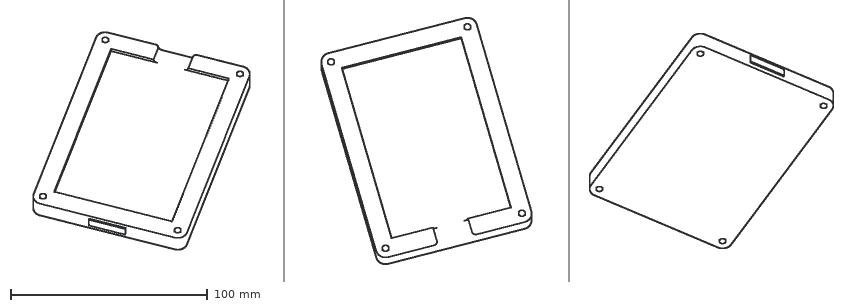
import cadquery as cq
import math

OVERALL_LENGTH = 115.8
WIDTH = 82.0
HEIGHT = 10.0

NAMEPLATE_THICKNESS = 0.75
BODY_LENGTH = OVERALL_LENGTH - NAMEPLATE_THICKNESS
CORNER_RADIUS = 5.0
BACK_Y = BODY_LENGTH / 2
FRONT_Y = -BODY_LENGTH / 2

SCREW_HOLE_DIAMETER = 3.4
SCREW_SPACING_X = WIDTH - 2 * CORNER_RADIUS
SCREW_SPACING_Y = BODY_LENGTH - 2 * CORNER_RADIUS

RIM_WIDTH = 9.5
POCKET_DEPTH = 2.0
FLOOR_Z = HEIGHT - POCKET_DEPTH
POCKET_WIDTH = WIDTH - 2 * RIM_WIDTH
POCKET_LENGTH = BODY_LENGTH - 2 * RIM_WIDTH

NOTCH_CENTER_X = 0.5
NOTCH_WIDTH = 18.5
NOTCH_SIDE_RADIUS = POCKET_DEPTH
NOTCH_MOUTH_RADIUS = 2.0

NAMEPLATE_WIDTH = 19.5
NAMEPLATE_HEIGHT = 4.7
NAMEPLATE_BOTTOM_Z = 3.0


def make_body():
    """Flat block with rounded vertical corners."""
    block = cq.Workplane("XY").box(WIDTH, BODY_LENGTH, HEIGHT, centered=(True, True, False))
    return block.edges("|Z").fillet(CORNER_RADIUS)


def make_pocket():
    """Cutter for the rectangular pocket."""
    pocket = cq.Workplane("XY").box(
        POCKET_WIDTH, POCKET_LENGTH, POCKET_DEPTH, centered=(True, True, False)
    )
    return pocket.translate((0, 0, FLOOR_Z))


def make_notch():
    """Cutter for the notch: flat floor rising in a quarter circle at each side."""
    half_top = NOTCH_WIDTH / 2
    half_floor = half_top - NOTCH_SIDE_RADIUS
    diagonal = NOTCH_SIDE_RADIUS * math.sqrt(0.5)
    arc_middle_z = HEIGHT - diagonal
    profile = (
        cq.Workplane("XZ", origin=(NOTCH_CENTER_X, BACK_Y, 0))
        .moveTo(-half_top, HEIGHT)
        .threePointArc((-half_floor - diagonal, arc_middle_z), (-half_floor, FLOOR_Z))
        .lineTo(half_floor, FLOOR_Z)
        .threePointArc((half_floor + diagonal, arc_middle_z), (half_top, HEIGHT))
        .close()
    )
    return profile.extrude(RIM_WIDTH)


def round_notch_mouth(body):
    """Round the edge between the notch and the back face, sides and floor together."""
    half_width = NOTCH_WIDTH / 2
    edge_margin = 0.1
    mouth = cq.selectors.BoxSelector(
        (NOTCH_CENTER_X - half_width, BACK_Y - edge_margin, FLOOR_Z - edge_margin),
        (NOTCH_CENTER_X + half_width, BACK_Y + edge_margin, HEIGHT - edge_margin),
    )
    return body.edges(mouth).fillet(NOTCH_MOUTH_RADIUS)


def make_screw_holes():
    """Cutters for the four through holes."""
    return (
        cq.Workplane("XY")
        .rect(SCREW_SPACING_X, SCREW_SPACING_Y, forConstruction=True)
        .vertices()
        .circle(SCREW_HOLE_DIAMETER / 2)
        .extrude(HEIGHT)
    )


def make_nameplate():
    """Plain raised pad standing on the front face."""
    pad = cq.Workplane("XY").box(
        NAMEPLATE_WIDTH, NAMEPLATE_THICKNESS, NAMEPLATE_HEIGHT, centered=(True, False, False)
    )
    return pad.translate((0, FRONT_Y - NAMEPLATE_THICKNESS, NAMEPLATE_BOTTOM_Z))


tray = make_body().cut(make_notch())
tray = round_notch_mouth(tray)
tray = tray.cut(make_pocket())
tray = tray.cut(make_screw_holes())

result = tray.union(make_nameplate())